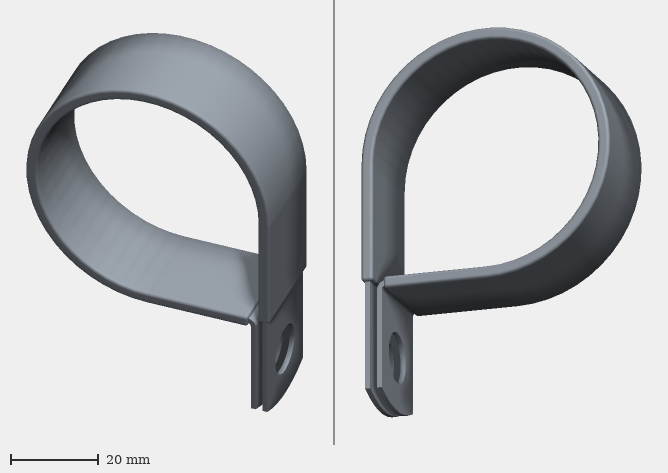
import cadquery as cq
import math

strap_thickness = 1.2
overall_height = 85.37

cushion_thickness = 0.8
cushion_width = 23.81
outer_radius = 59.59 / 2
edge_radius = 0.75
strap_width = cushion_width - 2 * cushion_thickness

strap_outer_radius = outer_radius - cushion_thickness
strap_inner_radius = strap_outer_radius - strap_thickness
inner_radius = strap_inner_radius - cushion_thickness

tab_gap = 1.6
bend_inner_radius = 1.0
bend_outer_radius = bend_inner_radius + strap_thickness
tab_bottom = outer_radius - overall_height
tab_end_sag = 2.4
hole_diameter = 12.0
hole_drop = 43.0

inner_tab_outer_x = strap_inner_radius - tab_gap
inner_tab_inner_x = inner_tab_outer_x - strap_thickness
bend_start_x = inner_tab_outer_x - bend_outer_radius
bend_center_z = -strap_inner_radius - bend_outer_radius

cushion_end_x = 24.45
cushion_end_z = -27.7

loop_mid_angle = 135
bend_mid_angle = 45

tolerance = 1e-4


def arc_point(center_x, center_z, radius, degrees):
    angle = math.radians(degrees)
    return center_x + radius * math.cos(angle), center_z + radius * math.sin(angle)


def extrude_centered(profile, width):
    """Extrude an XZ profile symmetrically about Y = 0."""
    return profile.extrude(width / 2, both=True)


def is_leg_end_edge(edge):
    """True for the width-wise edges at the free ends of the cushion legs."""
    center = edge.Center()
    on_vertical_leg = math.isclose(center.z, cushion_end_z, abs_tol=tolerance)
    on_horizontal_leg = math.isclose(center.x, cushion_end_x, abs_tol=tolerance)
    return on_vertical_leg or on_horizontal_leg


def make_cushion():
    """Three-quarter loop with a straight leg at each end and rounded edges."""
    profile = (
        cq.Workplane("XZ")
        .moveTo(outer_radius, cushion_end_z)
        .lineTo(outer_radius, 0)
        .threePointArc(arc_point(0, 0, outer_radius, loop_mid_angle), (0, -outer_radius))
        .lineTo(cushion_end_x, -outer_radius)
        .lineTo(cushion_end_x, -inner_radius)
        .lineTo(0, -inner_radius)
        .threePointArc(arc_point(0, 0, inner_radius, loop_mid_angle), (inner_radius, 0))
        .lineTo(inner_radius, cushion_end_z)
        .close()
    )
    cushion = extrude_centered(profile, cushion_width)
    side_edges = cushion.faces("|Y").edges()
    leg_end_edges = cushion.edges("|Y").filter(is_leg_end_edge)
    return side_edges.add(leg_end_edges).fillet(edge_radius)


def make_outer_tab():
    """Straight tab continuing the vertical leg down from inside the cushion."""
    profile = (
        cq.Workplane("XZ")
        .moveTo(strap_inner_radius, 0)
        .lineTo(strap_outer_radius, 0)
        .lineTo(strap_outer_radius, tab_bottom)
        .lineTo(strap_inner_radius, tab_bottom)
        .close()
    )
    return extrude_centered(profile, strap_width)


def make_inner_tab():
    """Tab continuing the horizontal leg and bending down beside the outer tab."""
    outer_mid = arc_point(bend_start_x, bend_center_z, bend_outer_radius, bend_mid_angle)
    inner_mid = arc_point(bend_start_x, bend_center_z, bend_inner_radius, bend_mid_angle)
    profile = (
        cq.Workplane("XZ")
        .moveTo(0, -strap_inner_radius)
        .lineTo(bend_start_x, -strap_inner_radius)
        .threePointArc(outer_mid, (inner_tab_outer_x, bend_center_z))
        .lineTo(inner_tab_outer_x, tab_bottom)
        .lineTo(inner_tab_inner_x, tab_bottom)
        .lineTo(inner_tab_inner_x, bend_center_z)
        .threePointArc(inner_mid, (bend_start_x, -strap_outer_radius))
        .lineTo(0, -strap_outer_radius)
        .close()
    )
    return extrude_centered(profile, strap_width)


def make_tab_outline():
    """Tab shape along X: straight sides, an arc-shaped lower end and a bolt hole."""
    half_width = strap_width / 2
    corner_z = tab_bottom + tab_end_sag
    outline = (
        cq.Workplane("YZ")
        .moveTo(-half_width, 0)
        .lineTo(-half_width, corner_z)
        .threePointArc((0, tab_bottom), (half_width, corner_z))
        .lineTo(half_width, 0)
        .close()
        .extrude(outer_radius)
    )
    bolt_hole = (
        cq.Workplane("YZ")
        .center(0, -hole_drop)
        .circle(hole_diameter / 2)
        .extrude(outer_radius)
    )
    return outline.cut(bolt_hole)


tabs = make_outer_tab().union(make_inner_tab()).intersect(make_tab_outline())
result = make_cushion().union(tabs)